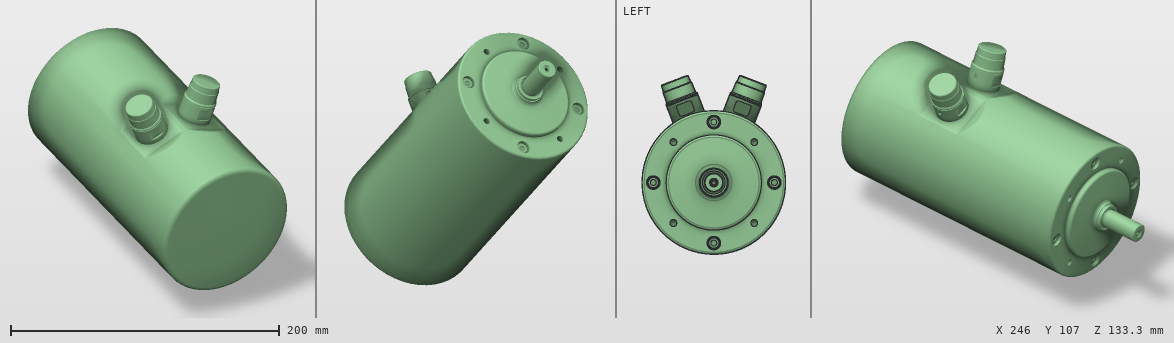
import cadquery as cq
import math


body_radius = 107.0 / 2
body_end = 203.0
rear_cone_rise = 0.7
front_edge_radius = 1.7
rear_edge_radius = 3.5

boss_radius = 35.5
boss_front = -4.7
boss_edge_radius = 1.7
cone_small_radius = 13.5
cone_front = -6.6
neck_radius = 21.5 / 2
neck_front = -9.8
neck_foot_length = 1.0
collar_radius = 20.0 / 2
collar_front = -12.5
collar_recess_radius = 17.0 / 2
collar_recess_depth = 1.0

shaft_radius = 14.0 / 2
shaft_relief_radius = 13.5 / 2
shaft_relief_start = -14.3
shaft_tip = -42.3
shaft_tip_chamfer = 0.5
centre_hole_diameter = 3.5
centre_bore_diameter = 5.2
centre_bore_depth = 1.2
centre_sink_diameter = 6.5
centre_hole_depth = 7.5

hole_count = 4
drill_point_angle = 118
mount_hole_diameter = 5.2
mount_hole_circle = 42.5
mount_hole_depth = 9.8
screw_circle = 45.0
screw_recess_diameter = 10.0
screw_recess_depth = 3.0
screw_head_diameter = 8.5
screw_head_height = 1.0
screw_head_chamfer = 0.5
screw_socket_diameter = 4.5
screw_socket_depth = 1.0

pad_x = 123.5
pad_length = 36.5
pad_width = 35.0
pad_distance = math.sqrt(body_radius**2 - (pad_width / 2) ** 2)
pad_end_slope = 20
pad_tilt = 21

connector_radius = 25.0 / 2
base_height = 14.8
groove_radius = 11.8
groove_height = 0.5
ring_height = 1.0
ring_bevel = 1.0
cap_bottom_radius = 23.4 / 2
cap_step_height = 25.0
cap_step_bevel = 0.5
cap_step_lower_radius = 23.0 / 2
cap_step_upper_radius = 22.1 / 2
cap_top_radius = 21.5 / 2
cap_height = 31.0
cap_edge = 0.5
wrench_flat_distance = 11.0
wrench_flat_bottom = 4.0
wrench_flat_top = 12.8
wrench_flat_width = 12.0
wrench_flat_corner = 2.0
key_slot_width = 2.5
key_slot_length = 4.5
key_slot_middle = 9.5
key_slot_depth = 1.0


def disc(radius, start, end, y=0, z=0):
    """Round bar along X from start to end, centred on (y, z)."""
    return cq.Workplane("YZ", origin=(start, y, z)).circle(radius).extrude(end - start)


def circle_places(radius, first_angle):
    """(y, z) places spread evenly round the motor axis."""
    angles = [math.radians(first_angle + i * 360 / hole_count) for i in range(hole_count)]
    return [(radius * math.cos(a), radius * math.sin(a)) for a in angles]


def pointed_hole(diameter, start, depth, y=0, z=0):
    """Cutter for a drilled hole along +X with a conical bottom."""
    radius = diameter / 2
    point = radius / math.tan(math.radians(drill_point_angle / 2))
    profile = [(start, 0), (start, radius), (start + depth, radius), (start + depth + point, 0)]
    cutter = cq.Workplane("XY").polyline(profile).close().revolve(360, (0, 0, 0), (1, 0, 0))
    return cutter.translate((0, y, z))


def make_turned_body():
    """Shaft, neck, boss and motor housing turned about X."""
    neck_foot = neck_front + neck_foot_length
    arc_45 = math.sqrt(0.5)
    flare_middle = (
        neck_foot + (cone_front - neck_foot) * arc_45,
        cone_small_radius - (cone_small_radius - neck_radius) * arc_45,
    )

    def edge_middle(inner_x, inner_radius, size, side):
        """Middle point of a quarter-round edge; side is -1 at a front edge and 1 at a rear edge."""
        return (inner_x + side * size * arc_45, inner_radius + size * arc_45)

    boss_fillet_x = boss_front + boss_edge_radius
    boss_fillet_r = boss_radius - boss_edge_radius
    front_fillet_r = body_radius - front_edge_radius
    rear_fillet_x = body_end - rear_edge_radius
    rear_fillet_r = body_radius - rear_edge_radius
    return (
        cq.Workplane("XY")
        .moveTo(shaft_tip, 0)
        .lineTo(shaft_tip, shaft_radius - shaft_tip_chamfer)
        .lineTo(shaft_tip + shaft_tip_chamfer, shaft_radius)
        .lineTo(shaft_relief_start, shaft_radius)
        .lineTo(shaft_relief_start, shaft_relief_radius)
        .lineTo(collar_front + collar_recess_depth, shaft_relief_radius)
        .lineTo(collar_front + collar_recess_depth, collar_recess_radius)
        .lineTo(collar_front, collar_recess_radius)
        .lineTo(collar_front, collar_radius)
        .lineTo(neck_front, collar_radius)
        .lineTo(neck_front, neck_radius)
        .lineTo(neck_foot, neck_radius)
        .threePointArc(flare_middle, (cone_front, cone_small_radius))
        .lineTo(boss_front, boss_fillet_r)
        .threePointArc(
            edge_middle(boss_fillet_x, boss_fillet_r, boss_edge_radius, -1),
            (boss_fillet_x, boss_radius),
        )
        .lineTo(0, boss_radius)
        .lineTo(0, front_fillet_r)
        .threePointArc(
            edge_middle(front_edge_radius, front_fillet_r, front_edge_radius, -1),
            (front_edge_radius, body_radius),
        )
        .lineTo(rear_fillet_x, body_radius)
        .threePointArc(
            edge_middle(rear_fillet_x, rear_fillet_r, rear_edge_radius, 1),
            (body_end, rear_fillet_r),
        )
        .lineTo(body_end + rear_cone_rise, 0)
        .close()
        .revolve(360, (0, 0, 0), (1, 0, 0))
    )


def make_screw_recess(y, z):
    """Cutter that leaves a socket-head screw standing in a round recess."""
    head_top = screw_recess_depth - screw_head_height
    recess = disc(screw_recess_diameter / 2, 0, screw_recess_depth, y, z)
    head = disc(screw_head_diameter / 2, head_top, screw_recess_depth, y, z)
    head = head.faces("<X").chamfer(screw_head_chamfer)
    socket = disc(screw_socket_diameter / 2, head_top, head_top + screw_socket_depth, y, z)
    return recess.cut(head).union(socket)


def make_pad_cutter(tilt):
    """Flat-bottomed cut with sloping ends, as wide as the body, turned about the motor axis."""
    rise = body_radius - pad_distance
    run = rise / math.tan(math.radians(pad_end_slope))
    half = pad_length / 2
    cutter = (
        cq.Workplane("XZ")
        .polyline([
            (pad_x - half, pad_distance),
            (pad_x + half, pad_distance),
            (pad_x + half + run, body_radius),
            (pad_x - half - run, body_radius),
        ])
        .close()
        .extrude(body_radius, both=True)
    )
    return cutter.rotate((0, 0, 0), (1, 0, 0), tilt)


def make_centre_hole():
    """Cutter for the stepped centre hole in the shaft end, with a countersunk mouth."""
    sink_depth = (centre_sink_diameter - centre_bore_diameter) / 2
    hole = pointed_hole(centre_hole_diameter, shaft_tip, centre_hole_depth)
    bore = disc(centre_bore_diameter / 2, shaft_tip, shaft_tip + centre_bore_depth)
    sink = cq.Workplane(cq.Solid.makeCone(
        centre_sink_diameter / 2,
        centre_bore_diameter / 2,
        sink_depth,
        pnt=cq.Vector(shaft_tip, 0, 0),
        dir=cq.Vector(1, 0, 0),
    ))
    return hole.union(bore).union(sink)


def make_motor():
    motor = make_turned_body()
    motor = motor.cut(make_centre_hole())

    for y, z in circle_places(mount_hole_circle, 45):
        motor = motor.cut(pointed_hole(mount_hole_diameter, 0, mount_hole_depth, y, z))
    for y, z in circle_places(screw_circle, 0):
        motor = motor.cut(make_screw_recess(y, z))

    for tilt in (pad_tilt, -pad_tilt):
        motor = motor.cut(make_pad_cutter(tilt))
    return motor


def make_connector(tilt):
    """Connector built upright on its pad, then turned about the motor axis."""
    ring_bottom = base_height + groove_height
    ring_top = ring_bottom + ring_height
    connector = (
        cq.Workplane("XZ")
        .polyline([
            (0, 0),
            (connector_radius, 0),
            (connector_radius, base_height),
            (groove_radius, base_height),
            (groove_radius, ring_bottom),
            (connector_radius, ring_bottom),
            (connector_radius, ring_top),
            (cap_bottom_radius, ring_top + ring_bevel),
            (cap_step_lower_radius, cap_step_height),
            (cap_step_upper_radius, cap_step_height + cap_step_bevel),
            (cap_top_radius, cap_height - cap_edge),
            (cap_top_radius - cap_edge, cap_height),
            (0, cap_height),
        ])
        .close()
        .revolve(360, (0, 0, 0), (0, 1, 0))
    )

    flat_depth = connector_radius - wrench_flat_distance
    flat_height = wrench_flat_top - wrench_flat_bottom
    flat_middle_x = (connector_radius + wrench_flat_distance) / 2
    flat_middle_z = (wrench_flat_top + wrench_flat_bottom) / 2
    flat_cutter = cq.Workplane("XY").box(flat_depth, wrench_flat_width, flat_height)
    flat_cutter = flat_cutter.edges("|X").fillet(wrench_flat_corner)
    for side in (-1, 1):
        connector = connector.cut(flat_cutter.translate((side * flat_middle_x, 0, flat_middle_z)))

    key_slot = (
        cq.Workplane("XY")
        .box(key_slot_width, 2 * key_slot_depth, key_slot_length)
        .translate((0, connector_radius, key_slot_middle))
    )
    connector = connector.cut(key_slot)

    connector = connector.translate((pad_x, 0, pad_distance))
    return connector.rotate((0, 0, 0), (1, 0, 0), tilt)


motor = make_motor()
connectors = [make_connector(tilt) for tilt in (pad_tilt, -pad_tilt)]

result = cq.Compound.makeCompound([motor.val(), *[connector.val() for connector in connectors]])